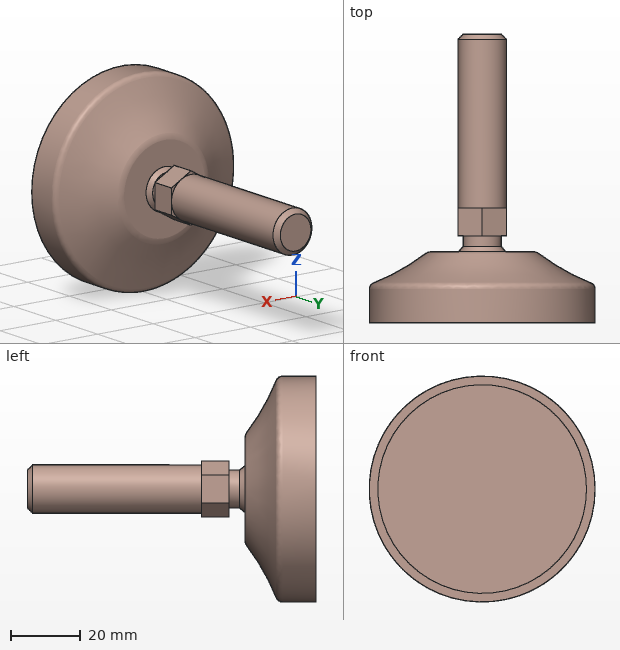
import cadquery as cq
import math


base_diameter = 65.0
recess_diameter = 60.0
recess_depth = 2.65
shoulder_height = 11.0
shoulder_radius = 2.0
base_height = 20.5
base_top_diameter = 31.2
base_top_radius = 3.0
cone_arc_radius = 65.0

neck_diameter = 11.0
neck_flare_start = 22.0
neck_flare_diameter = 13.5
hex_start = 25.0
hex_length = 8.0
hex_across_flats = 14.0
rod_diameter = 14.0
rod_end = 83.0
rod_chamfer = 1.5


def on_arc_middle(start, end, radius):
    """Middle point (radius, height) of a shallow arc that sags toward the axis and Y = 0."""
    chord_r = end[0] - start[0]
    chord_y = end[1] - start[1]
    half_chord = math.hypot(chord_r, chord_y) / 2
    sag = radius - math.sqrt(radius**2 - half_chord**2)
    middle_r = (start[0] + end[0]) / 2
    middle_y = (start[1] + end[1]) / 2
    return (
        middle_r + sag * chord_y / (2 * half_chord),
        middle_y - sag * chord_r / (2 * half_chord),
    )


def revolve_about_y(profile):
    """Closes a half profile (radius along X, height along Y) and spins it about Y."""
    return profile.close().revolve(360, (0, 0, 0), (0, 1, 0))


def edge_at_height(height):
    """Selects the circular edge of the base that lies at the given height along Y."""
    reach = base_diameter
    slack = 0.1
    return cq.selectors.BoxSelector(
        (-reach, height - slack, -reach),
        (reach, height + slack, reach),
        boundingbox=True,
    )


def make_base():
    cone_top = (base_top_diameter / 2, base_height)
    shoulder = (base_diameter / 2, shoulder_height)
    profile = (
        cq.Workplane("XY")
        .lineTo(0, base_height)
        .lineTo(*cone_top)
        .threePointArc(on_arc_middle(cone_top, shoulder, cone_arc_radius), shoulder)
        .lineTo(base_diameter / 2, 0)
    )
    body = revolve_about_y(profile)
    body = body.edges(edge_at_height(shoulder_height)).fillet(shoulder_radius)
    body = body.edges(edge_at_height(base_height)).fillet(base_top_radius)
    recess = cq.Workplane("XZ").circle(recess_diameter / 2).extrude(-recess_depth)
    return body.cut(recess)


def make_neck():
    profile = (
        cq.Workplane("XY")
        .moveTo(0, base_height)
        .lineTo(neck_flare_diameter / 2, base_height)
        .lineTo(neck_diameter / 2, neck_flare_start)
        .lineTo(neck_diameter / 2, hex_start)
        .lineTo(0, hex_start)
    )
    return revolve_about_y(profile)


def make_hex():
    """Hexagon with two flats facing +X and -X and corners on Z."""
    across_corners = hex_across_flats / math.cos(math.pi / 6)
    return (
        cq.Workplane("XZ", origin=(0, hex_start, 0))
        .transformed(rotate=(0, 0, 90))
        .polygon(6, across_corners)
        .extrude(-hex_length)
    )


def make_rod():
    rod_start = hex_start + hex_length
    return (
        cq.Workplane("XZ", origin=(0, rod_start, 0))
        .circle(rod_diameter / 2)
        .extrude(rod_start - rod_end)
        .faces(">Y")
        .chamfer(rod_chamfer)
    )


result = make_base().union(make_neck()).union(make_hex()).union(make_rod())